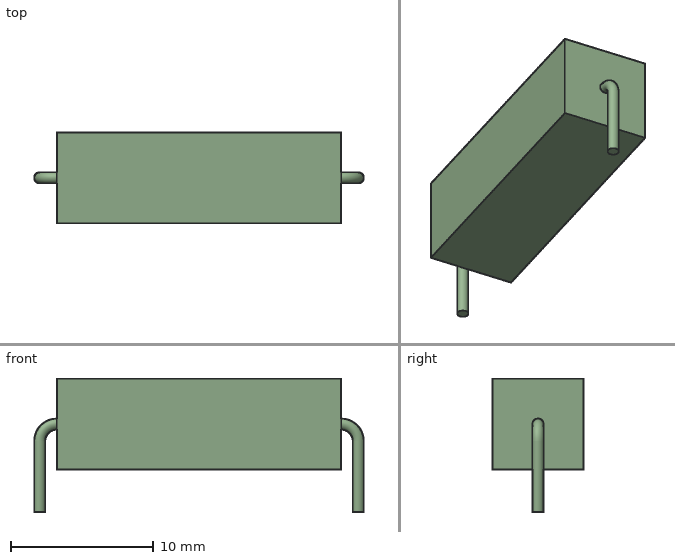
import cadquery as cq

overall_length = 23.2
body_length = 20.0
body_side = 6.4
lead_diameter = 0.8
lead_drop = 3.0

body_end = body_length / 2
lead_x = (overall_length - lead_diameter) / 2
exit_height = body_side / 2
bend_radius = lead_x - body_end
bend_bottom = exit_height - bend_radius


def make_body():
    return cq.Workplane("XY").box(body_length, body_side, body_side, centered=(True, True, False))


def make_lead(side):
    """Round wire leaving the body end on the given side (-1 or 1) and bending down."""
    lead_radius = lead_diameter / 2
    straight = (
        cq.Workplane("XY", origin=(side * lead_x, 0, -lead_drop))
        .circle(lead_radius)
        .extrude(lead_drop + bend_bottom)
    )
    bend_path = (
        cq.Workplane("XZ")
        .moveTo(side * body_end, exit_height)
        .radiusArc((side * lead_x, bend_bottom), side * bend_radius)
    )
    bend = (
        cq.Workplane("YZ", origin=(side * body_end, 0, exit_height))
        .circle(lead_radius)
        .sweep(bend_path)
    )
    return straight.union(bend)


result = make_body()
for side in (-1, 1):
    result = result.union(make_lead(side))